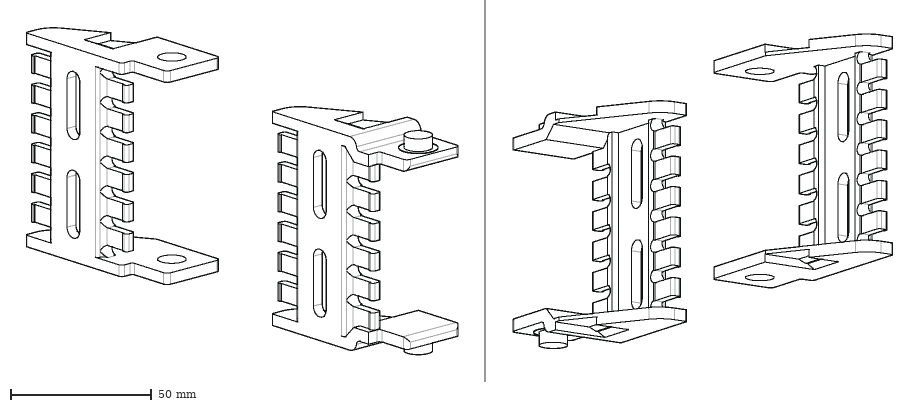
import cadquery as cq
import math

TOTAL_LENGTH = 195.5
DEPTH = 31.0
FLANGE_SPAN = 79.5
FLANGE_THICKNESS = 4.3
PIN_SPAN = 80.4
COMB_CENTER = 25.5
TOP = FLANGE_SPAN / 2
INNER = TOP - FLANGE_THICKNESS

SLOPE_ANGLE = 30.0
SLOPE_END = 35.4
NOSE_RADIUS = 9.2
STEP_HEIGHT = 5.3
STEP_INNER_RADIUS = 1.2
LUG_CORNER_RADIUS = 1.8
STEP_OUTER_RADIUS = 1.4

HOLED_LENGTH = 69.0
HOLED_STEP = 50.8
HOLED_POCKET = 20.5
HOLED_FRONT_RADIUS = 1.0
PINNED_LENGTH = 65.5
PINNED_STEP = 51.2
PINNED_POCKET = 22.5
PINNED_FRONT_RADIUS = 0.5
PINNED_START = TOTAL_LENGTH - PINNED_LENGTH

HINGE_X = 57.0
HINGE_Y = 18.5
HINGE_DIAMETER = 10.2
SPACER_DIAMETER = 14.0
SPACER_HEIGHT = 0.2

LUG_THICKNESS = 4.5
LUG_OUTER = INNER - SPACER_HEIGHT
LUG_INNER = LUG_OUTER - LUG_THICKNESS
JOG_OUTER_START = 41.3
JOG_OUTER_BEND = 44.8
JOG_OUTER_END = 46.5
JOG_INNER_START = 38.7
JOG_INNER_END = JOG_INNER_START + INNER - LUG_INNER
LUG_TIP_RADIUS = 2.0

POCKET_WIDTH = 15.0
POCKET_DEPTH = 3.0
POCKET_FRONT = 9.8
RAMP_TOP_FRONT = 12.7
RAMP_TOP_BACK = 13.5
RAMP_FOOT = 16.6
RAMP_RISE = 1.2

ROOT_BACK = 7.0
WEB_FACE_HALF = 11.5
WEB_EDGE_RADIUS = 1.2
WEB_THICKNESS = 4.3
ROOT_HALF = 14.5
STEM_FRONT = 3.0
STEM_BACK = 6.5
TOOTH_HALF = COMB_CENTER
BARB_LENGTH = 2.0
BARB_HEIGHT = 0.5
TIP_CORNER_RADIUS = 1.2

TOOTH_COUNT = 6
GAP_WIDTH = 4.5
GAP_END_HALF = 12.7
TOOTH_PITCH = (2 * INNER - GAP_WIDTH) / TOOTH_COUNT

SLOT_WIDTH = 6.6
SLOT_LENGTH = 25.2
SLOT_CENTER_Z = 18.4


def comb_section_half(side):
    """Cross-section of the comb on one side (-1 or +1) of its centre line."""
    wall = WEB_FACE_HALF + WEB_EDGE_RADIUS
    root_radius = STEM_FRONT - WEB_EDGE_RADIUS
    root_end = wall + root_radius
    barb_start = TOOTH_HALF - BARB_LENGTH
    barb_front = STEM_FRONT - BARB_HEIGHT
    corner_start = TOOTH_HALF - TIP_CORNER_RADIUS

    def at(distance, y):
        return (COMB_CENTER + side * distance, y)

    sagitta = root_radius * (1 - math.sqrt(0.5))
    root_middle = at(wall + sagitta, STEM_FRONT - sagitta)
    return (
        cq.Workplane("XY", origin=(0, 0, -INNER))
        .moveTo(*at(0, 0))
        .lineTo(*at(WEB_FACE_HALF, 0))
        .tangentArcPoint(at(wall, WEB_EDGE_RADIUS), relative=False)
        .threePointArc(root_middle, at(root_end, STEM_FRONT))
        .lineTo(*at(barb_start, STEM_FRONT))
        .lineTo(*at(barb_start, barb_front))
        .lineTo(*at(corner_start, barb_front))
        .tangentArcPoint(at(TOOTH_HALF, barb_front + TIP_CORNER_RADIUS), relative=False)
        .lineTo(*at(TOOTH_HALF, STEM_BACK - TIP_CORNER_RADIUS))
        .tangentArcPoint(at(corner_start, STEM_BACK), relative=False)
        .lineTo(*at(ROOT_HALF, STEM_BACK))
        .lineTo(*at(ROOT_HALF, ROOT_BACK))
        .lineTo(*at(WEB_FACE_HALF, ROOT_BACK))
        .lineTo(*at(WEB_FACE_HALF, WEB_THICKNESS))
        .lineTo(*at(0, WEB_THICKNESS))
        .close()
        .extrude(2 * INNER)
    )


def slot_cutter(x, z, length, width, angle):
    """Round-ended slot through the comb, along Y."""
    return (
        cq.Workplane("XZ", origin=(x, 0, z))
        .slot2D(length, width, angle)
        .extrude(-ROOT_BACK)
    )


def tooth_gap(side, index, end):
    """Gap beside a tooth, with its round end at the given distance from the comb centre."""
    x = COMB_CENTER + side * TOOTH_HALF
    z = (index - TOOTH_COUNT / 2) * TOOTH_PITCH
    return slot_cutter(x, z, 2 * (TOOTH_HALF - end), GAP_WIDTH, 0)


def make_comb(right_corner_gap_end):
    """Web with a row of barbed teeth on each side and two mounting slots.

    The gaps next to the flanges on the +X side end at right_corner_gap_end.
    """
    comb = comb_section_half(-1).union(comb_section_half(1))
    for side in (-1, 1):
        for index in range(TOOTH_COUNT + 1):
            is_right_corner = side == 1 and index in (0, TOOTH_COUNT)
            end = right_corner_gap_end if is_right_corner else GAP_END_HALF
            comb = comb.cut(tooth_gap(side, index, end))
        slot_z = side * SLOT_CENTER_Z
        comb = comb.cut(slot_cutter(COMB_CENTER, slot_z, SLOT_LENGTH, SLOT_WIDTH, 90))
    return comb


def round_edge(solid, x, y, radius):
    """Fillet the upright edge at (x, y)."""
    reach = 0.2
    corner = cq.selectors.BoxSelector((x - reach, y - reach, 0), (x + reach, y + reach, TOP))
    return solid.edges("|Z").edges(corner).fillet(radius)


def flange_blank(length, step_x, front_radius):
    """Flange outline in X and Y, extruded over the height of the upper flange."""
    tip_y = DEPTH - SLOPE_END * math.tan(math.radians(SLOPE_ANGLE))
    blank = (
        cq.Workplane("XY", origin=(0, 0, LUG_INNER))
        .polyline([
            (0, 0), (step_x, 0), (step_x, STEP_HEIGHT), (length, STEP_HEIGHT),
            (length, DEPTH), (SLOPE_END, DEPTH), (0, tip_y),
        ])
        .close()
        .extrude(TOP - LUG_INNER)
    )

    blank = round_edge(blank, 0, tip_y, NOSE_RADIUS)
    blank = round_edge(blank, 0, 0, front_radius)
    blank = round_edge(blank, step_x, STEP_HEIGHT, STEP_INNER_RADIUS)
    blank = round_edge(blank, length, STEP_HEIGHT, LUG_CORNER_RADIUS)
    return round_edge(blank, length, DEPTH, LUG_CORNER_RADIUS)


def straight_profile():
    """Flat flange, as a bar along X."""
    return (
        cq.Workplane("XY", origin=(0, 0, INNER))
        .rect(HOLED_LENGTH, DEPTH, centered=False)
        .extrude(FLANGE_THICKNESS)
    )


def jogged_profile():
    """Flange that steps inward to the lug: S-bend outside, 45 degrees inside."""
    outer_drop = TOP - LUG_OUTER
    bend_share = (JOG_OUTER_BEND - JOG_OUTER_START) / (JOG_OUTER_END - JOG_OUTER_START)
    bend_z = TOP - bend_share * outer_drop
    tip = LUG_TIP_RADIUS
    return (
        cq.Workplane("XZ")
        .moveTo(0, INNER)
        .lineTo(0, TOP)
        .lineTo(JOG_OUTER_START, TOP)
        .tangentArcPoint((JOG_OUTER_BEND, bend_z), relative=False)
        .tangentArcPoint((JOG_OUTER_END, LUG_OUTER), relative=False)
        .lineTo(PINNED_LENGTH, LUG_OUTER)
        .lineTo(PINNED_LENGTH, LUG_INNER + tip)
        .tangentArcPoint((PINNED_LENGTH - tip, LUG_INNER), relative=False)
        .lineTo(JOG_INNER_END, LUG_INNER)
        .lineTo(JOG_INNER_START, INNER)
        .close()
        .extrude(-DEPTH)
    )


def pocket_cutter(start_x):
    """Latch pocket, open at the sloped edge, with a ramped front end."""
    floor = TOP - POCKET_DEPTH
    return (
        cq.Workplane("YZ", origin=(start_x, 0, 0))
        .polyline([
            (POCKET_FRONT, TOP), (RAMP_TOP_FRONT, floor + RAMP_RISE),
            (RAMP_TOP_BACK, floor + RAMP_RISE), (RAMP_FOOT, floor),
            (DEPTH, floor), (DEPTH, TOP),
        ])
        .close()
        .extrude(POCKET_WIDTH)
    )


def hinge_cylinder(diameter, bottom, top):
    """Upright cylinder on the hinge axis."""
    return (
        cq.Workplane("XY", origin=(HINGE_X, HINGE_Y, bottom))
        .circle(diameter / 2)
        .extrude(top - bottom)
    )


def make_bracket(flange, right_corner_gap_end):
    """Comb with the given upper flange and its mirror image below."""
    return make_comb(right_corner_gap_end).union(flange).union(flange.mirror("XY"))


def make_holed_bracket():
    """Bracket with flat flanges and a hinge hole through each."""
    flange = flange_blank(HOLED_LENGTH, HOLED_STEP, HOLED_FRONT_RADIUS).intersect(straight_profile())
    flange = round_edge(flange, HOLED_STEP, 0, STEP_OUTER_RADIUS)
    flange = flange.cut(pocket_cutter(HOLED_POCKET))
    flange = flange.cut(hinge_cylinder(HINGE_DIAMETER, INNER, TOP))
    return make_bracket(flange, GAP_END_HALF)


def make_pinned_bracket():
    """Bracket with jogged flanges, each carrying a hinge pin on its lug."""
    flange = flange_blank(PINNED_LENGTH, PINNED_STEP, PINNED_FRONT_RADIUS).intersect(jogged_profile())
    flange = flange.cut(pocket_cutter(PINNED_POCKET))
    flange = flange.union(hinge_cylinder(SPACER_DIAMETER, LUG_OUTER, INNER))
    flange = flange.union(hinge_cylinder(HINGE_DIAMETER, INNER, PIN_SPAN / 2))
    return make_bracket(flange, JOG_INNER_END - COMB_CENTER).translate((PINNED_START, 0, 0))


holed_bracket = make_holed_bracket()
pinned_bracket = make_pinned_bracket()

result = cq.Compound.makeCompound([holed_bracket.val(), pinned_bracket.val()])